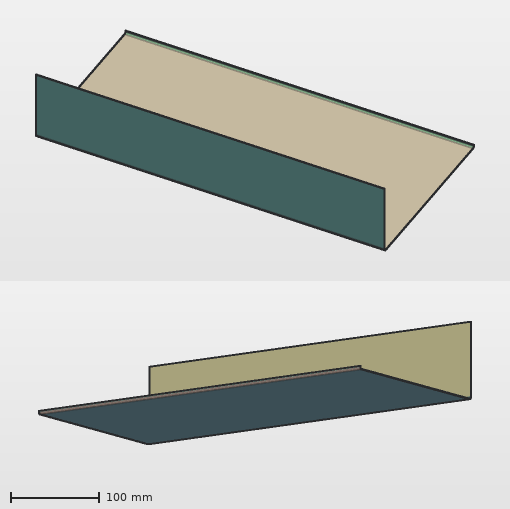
import cadquery as cq

length = 446.0
depth = 216.5
wall_height = 90.0

thickness = 1.0
front_bend_radius = 3.0
back_bend_radius = 1.5
lip_height = 4.0

front = -depth / 2
back = depth / 2


def sheet_profile():
    """Closed outline across the sheet: tall front wall, floor and short back lip."""
    front_outer_radius = front_bend_radius + thickness
    back_outer_radius = back_bend_radius + thickness
    return (
        cq.Workplane("YZ")
        .moveTo(front, wall_height)
        .lineTo(front, front_outer_radius)
        .radiusArc((front + front_outer_radius, 0), -front_outer_radius)
        .lineTo(back - back_outer_radius, 0)
        .radiusArc((back, back_outer_radius), -back_outer_radius)
        .lineTo(back, lip_height)
        .lineTo(back - thickness, lip_height)
        .lineTo(back - thickness, back_outer_radius)
        .radiusArc((back - back_outer_radius, thickness), back_bend_radius)
        .lineTo(front + front_outer_radius, thickness)
        .radiusArc((front + thickness, front_outer_radius), front_bend_radius)
        .lineTo(front + thickness, wall_height)
        .close()
    )


result = sheet_profile().extrude(length / 2, both=True)